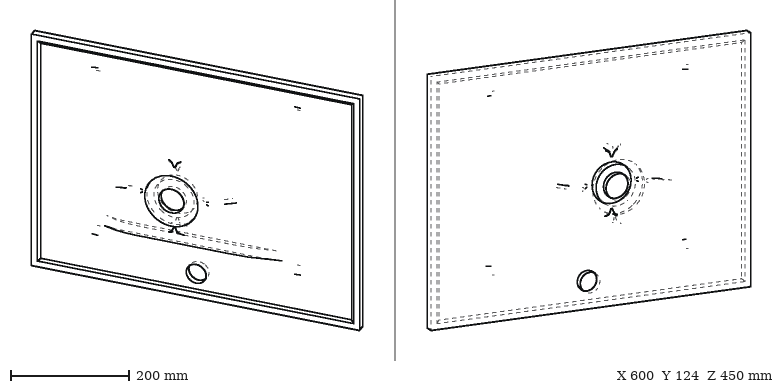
import cadquery as cq

PLATE_WIDTH = 600.0
PLATE_HEIGHT = 450.0
PLATE_THICKNESS = 15.0
EDGE_ROUND = 2.0
TOTAL_DEPTH = 124.0

RIM_WIDTH = 11.5
RECESS_SLOPE = 5.0
RECESS_DEPTH = 3.0
PANEL_THICKNESS = PLATE_THICKNESS - RECESS_DEPTH

BOWL_Z = 20.5
WALL = PANEL_THICKNESS

BOWL_SECTIONS = [
    (0.0, 264.0, 162.5, 84.0),
    (3.5, 249.0, 149.0, 84.0),
    (12.5, 231.0, 135.5, 84.0),
    (26.0, 215.5, 129.0, 84.0),
    (46.0, 194.0, 119.5, 84.0),
    (69.5, 163.0, 105.5, 81.0),
    (85.0, 128.5, 89.5, 75.0),
    (93.5, 89.5, 72.5, 68.5),
    (97.0, 57.5, 57.5, 56.5),
]
BOWL_DEPTH = PANEL_THICKNESS + BOWL_SECTIONS[-1][0]

COLLAR_RADIUS = 48.5
COLLAR_ROOT_RADIUS = 57.5
COLLAR_STRAIGHT = 6.5
FLARE_BEND = 0.3
DRAIN_DIAMETER = 45.5
DRAIN_FLOOR = 11.0
DRAIN_WELL_RADIUS = COLLAR_RADIUS - WALL

TAP_DIAMETER = 36.0
TAP_Z = -179.5


def plane_at(depth, z=0.0):
    """Workplane at a depth in front of the back face, normal toward -Y."""
    return cq.Workplane("XZ", origin=(0, -depth, z))


def section_wire(depth, half_width, half_height, radius):
    """Rounded rectangle centred on the bowl axis."""
    block = plane_at(depth, BOWL_Z).rect(2 * half_width, 2 * half_height).extrude(6)
    return block.edges("|Y").fillet(radius).faces(">Y").wires().val()


def bowl_body(first_depth, inset):
    """Smooth bowl through all sections, each one drawn in by the inset."""
    wires = [
        section_wire(first_depth + depth, half_width - inset, half_height - inset, radius - inset)
        for depth, half_width, half_height, radius in BOWL_SECTIONS
    ]
    return cq.Workplane(cq.Solid.makeLoft(wires))


def plate():
    slab = plane_at(0).rect(PLATE_WIDTH, PLATE_HEIGHT).extrude(PLATE_THICKNESS)
    slab = slab.edges("|Y or >Y").fillet(EDGE_ROUND)
    mouth_inset = 2 * RIM_WIDTH
    floor_inset = 2 * (RIM_WIDTH + RECESS_SLOPE)
    recess = (
        plane_at(PANEL_THICKNESS)
        .rect(PLATE_WIDTH - floor_inset, PLATE_HEIGHT - floor_inset)
        .workplane(offset=RECESS_DEPTH)
        .rect(PLATE_WIDTH - mouth_inset, PLATE_HEIGHT - mouth_inset)
        .loft(ruled=True)
    )
    return slab.cut(recess)


def drain_collar():
    """Turned collar with a concave flare, starting inside the bowl wall."""
    straight_start = TOTAL_DEPTH - COLLAR_STRAIGHT
    flare_drop = straight_start - BOWL_DEPTH
    flare_mid = (
        COLLAR_RADIUS + FLARE_BEND * (COLLAR_ROOT_RADIUS - COLLAR_RADIUS),
        -(BOWL_DEPTH + FLARE_BEND * flare_drop),
    )
    return (
        cq.Workplane("XY", origin=(0, 0, BOWL_Z))
        .moveTo(0, -(BOWL_DEPTH - WALL))
        .lineTo(COLLAR_ROOT_RADIUS, -(BOWL_DEPTH - WALL))
        .lineTo(COLLAR_ROOT_RADIUS, -BOWL_DEPTH)
        .threePointArc(flare_mid, (COLLAR_RADIUS, -straight_start))
        .lineTo(COLLAR_RADIUS, -TOTAL_DEPTH)
        .lineTo(0, -TOTAL_DEPTH)
        .close()
        .revolve(360, (0, 0, 0), (0, 1, 0))
    )


outer_bowl = bowl_body(PANEL_THICKNESS, 0)
hollow = bowl_body(0, WALL)
drain_well = plane_at(0, BOWL_Z).circle(DRAIN_WELL_RADIUS).extrude(TOTAL_DEPTH - DRAIN_FLOOR)
drain_hole = plane_at(0, BOWL_Z).circle(DRAIN_DIAMETER / 2).extrude(TOTAL_DEPTH)
tap_hole = plane_at(0, TAP_Z).circle(TAP_DIAMETER / 2).extrude(PLATE_THICKNESS)

result = plate().union(outer_bowl).union(drain_collar())
for void in (hollow, drain_well, drain_hole, tap_hole):
    result = result.cut(void)